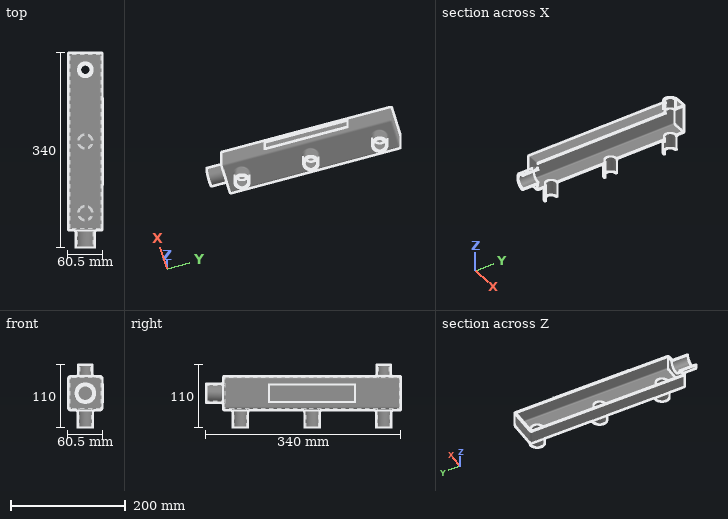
import cadquery as cq
import math

body_side = 60.0
half_side = body_side / 2
wall = 3.0
corner_radius = 6.0
end_radius = 3.0

outlet_count = 3
outlet_spacing = 125.0
outlet_end_distance = 30.0
outlet_positions = [outlet_end_distance + i * outlet_spacing for i in range(outlet_count)]
vent_position = outlet_positions[-1]
body_length = outlet_positions[-1] + outlet_end_distance

plate_height = 0.55
plate_width = 30.0
plate_length = 150.0

inlet_outer = 33.5
inlet_bore = 27.5
inlet_length = 30.0
outlet_outer = 26.8
outlet_bore = 22.0
outlet_length = 30.0
vent_outer = 25.0
vent_bore = 18.63
vent_length = 20.0

weld_radius = 3.0
rim_chamfer = 0.5
inlet_bore_chamfer = 0.5


def make_body():
    """Solid bar with rounded long edges and smaller rounds around both ends."""
    bar = cq.Workplane("XY").box(body_side, body_length, body_side)
    bar = bar.edges("|Y").fillet(corner_radius)
    bar = bar.faces("<Y or >Y").edges().fillet(end_radius)
    return bar.translate((0, body_length / 2, 0))


def make_nameplate():
    """Raised plate, rooted in the wall so that it joins the body."""
    thickness = wall + plate_height
    plate = cq.Workplane("XY").box(thickness, plate_length, plate_width)
    return plate.translate((half_side - wall + thickness / 2, body_length / 2, 0))


def make_cavity():
    """Hollow inside of the tube, closed at both ends by a wall."""
    inner_side = body_side - 2 * wall
    cavity = cq.Workplane("XY").box(inner_side, body_length - 2 * wall, inner_side)
    cavity = cavity.edges("|Y").fillet(corner_radius - wall)
    return cavity.translate((0, body_length / 2, 0))


def port_plane(foot, axis):
    """Sketch plane through the port axis: origin at the foot, vertical along the axis."""
    across = cq.Vector(1, 0, 0)
    return cq.Plane(origin=foot, xDir=across, normal=across.cross(cq.Vector(*axis)))


def make_stub(foot, axis, outer, length):
    """Solid stub with a concave weld at its foot and a chamfered rim."""
    radius = outer / 2
    weld_edge = radius + weld_radius
    arc_mid = weld_radius * (1 - math.sqrt(0.5))
    profile = (
        cq.Workplane(port_plane(foot, axis))
        .moveTo(0, -wall)
        .lineTo(weld_edge, -wall)
        .lineTo(weld_edge, 0)
        .threePointArc((radius + arc_mid, arc_mid), (radius, weld_radius))
        .lineTo(radius, length - rim_chamfer)
        .lineTo(radius - rim_chamfer, length)
        .lineTo(0, length)
        .close()
    )
    return profile.revolve(360, (0, 0), (0, 1))


def make_bore(foot, axis, diameter, length, mouth_chamfer):
    """Bore from the free end of a stub into the cavity, widened at the mouth if chamfered."""
    radius = diameter / 2
    inner_end = -2 * wall
    profile = (
        cq.Workplane(port_plane(foot, axis))
        .moveTo(0, inner_end)
        .lineTo(radius, inner_end)
        .lineTo(radius, length - mouth_chamfer)
    )
    if mouth_chamfer > 0:
        profile = profile.lineTo(radius + mouth_chamfer, length)
    profile = profile.lineTo(0, length).close()
    return profile.revolve(360, (0, 0), (0, 1))


inlet = ((0, 0, 0), (0, -1, 0), inlet_outer, inlet_bore, inlet_length, inlet_bore_chamfer)
vent = ((0, vent_position, half_side), (0, 0, 1), vent_outer, vent_bore, vent_length, 0)
outlets = [
    ((0, y, -half_side), (0, 0, -1), outlet_outer, outlet_bore, outlet_length, 0)
    for y in outlet_positions
]
ports = [inlet, vent] + outlets

result = make_body().union(make_nameplate())
for foot, axis, outer, bore, length, mouth_chamfer in ports:
    result = result.union(make_stub(foot, axis, outer, length))
result = result.cut(make_cavity())
for foot, axis, outer, bore, length, mouth_chamfer in ports:
    result = result.cut(make_bore(foot, axis, bore, length, mouth_chamfer))